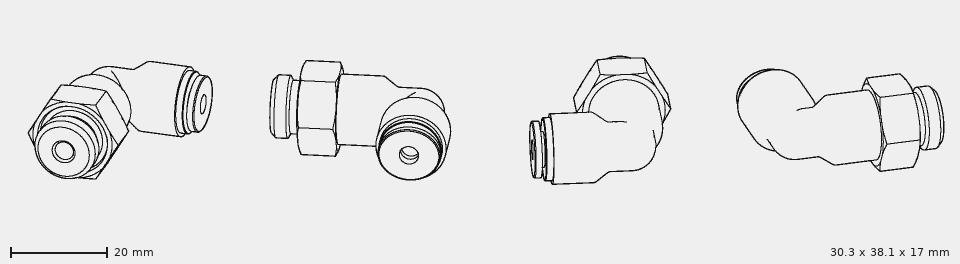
import cadquery as cq
import math


BORE_DIA = 4.0
BORE_MOUTH_DIA = 5.0

PIPE_RADIUS = 5.17
SLEEVE_RADIUS = 7.35
CONE_START = 4.8
CONE_END = 7.8
LIMB_END = 16.65
SHOULDER_FILLET = 1.0

HEX_FLATS = 17.0
HEX_LENGTH = 8.03
HEX_CHAMFER_DIA = 17.25
HEX_CHAMFER_ANGLE = 20
CORNER_CLEARANCE = 0.38
RECESS_MOUTH_DIA = 15.22
RECESS_FLOOR_DIA = 14.7
RECESS_DEPTH = 1.0
STEM_NECK_DIA = 11.2
NECK_FLARE = 0.65
NECK_FLARE_LENGTH = 0.4
THREAD_DIA = 13.15
THREAD_START = 27.25
THREAD_RUN_IN = 0.57
STEM_END = 30.7
STEM_END_CHAMFER = 1.0

RING_DIA = 13.15
RING_LENGTH = 1.55
RING_CHAMFER = 0.15

COLLAR_NECK_DIA = 7.5
COLLAR_NECK_LENGTH = 0.8
COLLAR_WIDTH = 12.98
COLLAR_HEIGHT = 11.55
COLLAR_LENGTH = 1.52
COLLAR_CHAMFER = 0.23

HEX_END = LIMB_END + HEX_LENGTH
RING_END = LIMB_END + RING_LENGTH
COLLAR_START = RING_END + COLLAR_NECK_LENGTH


def turned(profile):
    """Revolve (distance, radius) points about the X axis."""
    return cq.Workplane("XY").polyline(profile).close().revolve(360, (0, 0, 0), (1, 0, 0))


def along_stem(shape):
    """Turn a shape built along +X so that it lies along -Y."""
    return shape.rotate((0, 0, 0), (0, 0, 1), -90)


def rod(start, end, diameter):
    """Round bar on the X axis between two distances from the elbow corner."""
    return cq.Workplane("YZ").workplane(offset=start).circle(diameter / 2).extrude(end - start)


def make_limb():
    """Solid limb along +X: narrow pipe, rounded cone and wide sleeve."""
    limb = turned([
        (0, 0),
        (0, PIPE_RADIUS),
        (CONE_START, PIPE_RADIUS),
        (CONE_END, SLEEVE_RADIUS),
        (LIMB_END, SLEEVE_RADIUS),
        (LIMB_END, 0),
    ])
    return limb.faces("%CONE").edges("%CIRCLE").fillet(SHOULDER_FILLET)


def make_elbow():
    """Two equal limbs joined by a round corner, with the bent passage through them."""
    limb = make_limb()
    outside = limb.union(along_stem(limb)).union(cq.Workplane("XY").sphere(PIPE_RADIUS))
    limb_bore = rod(0, LIMB_END, BORE_DIA)
    corner_bore = cq.Workplane("XY").sphere(BORE_DIA / 2)
    passage = limb_bore.union(along_stem(limb_bore)).union(corner_bore)
    return outside.cut(passage)


def make_hexagon():
    """Hexagon with its corners chamfered at both ends."""
    hex_corners = HEX_FLATS / math.cos(math.radians(30))
    hexagon = cq.Workplane("YZ").workplane(offset=LIMB_END).polygon(6, hex_corners).extrude(HEX_LENGTH)
    end_radius = HEX_CHAMFER_DIA / 2
    outer_radius = hex_corners / 2 + CORNER_CLEARANCE
    drop = (outer_radius - end_radius) * math.tan(math.radians(HEX_CHAMFER_ANGLE))
    chamfer_envelope = turned([
        (LIMB_END, 0),
        (LIMB_END, end_radius),
        (LIMB_END + drop, outer_radius),
        (HEX_END - drop, outer_radius),
        (HEX_END, end_radius),
        (HEX_END, 0),
    ])
    return hexagon.intersect(chamfer_envelope)


def make_stem():
    """Hexagon with a threaded spigot that rises from a recess in its end face."""
    neck_radius = STEM_NECK_DIA / 2
    thread_radius = THREAD_DIA / 2
    recess_floor = HEX_END - RECESS_DEPTH
    recess = turned([
        (recess_floor, 0),
        (recess_floor, RECESS_FLOOR_DIA / 2),
        (HEX_END, RECESS_MOUTH_DIA / 2),
        (HEX_END, 0),
    ])
    spigot = turned([
        (recess_floor, 0),
        (recess_floor, neck_radius + NECK_FLARE),
        (HEX_END + NECK_FLARE_LENGTH, neck_radius),
        (THREAD_START - THREAD_RUN_IN, neck_radius),
        (THREAD_START, thread_radius),
        (STEM_END - STEM_END_CHAMFER, thread_radius),
        (STEM_END, thread_radius - STEM_END_CHAMFER),
        (STEM_END, 0),
    ])
    mouth_depth = (BORE_MOUTH_DIA - BORE_DIA) / 2
    countersink = turned([
        (STEM_END - mouth_depth, 0),
        (STEM_END - mouth_depth, BORE_DIA / 2),
        (STEM_END, BORE_MOUTH_DIA / 2),
        (STEM_END, 0),
    ])
    bore = rod(LIMB_END, STEM_END, BORE_DIA)
    return along_stem(make_hexagon().cut(recess).union(spigot).cut(bore).cut(countersink))


def make_insert_ring():
    ring = rod(LIMB_END, RING_END, RING_DIA).faces(">X").chamfer(RING_CHAMFER)
    return ring.cut(rod(LIMB_END, RING_END, BORE_DIA))


def make_collar():
    """Oval push flange on a round neck."""
    flange = (
        cq.Workplane("YZ").workplane(offset=COLLAR_START)
        .ellipse(COLLAR_WIDTH / 2, COLLAR_HEIGHT / 2).extrude(COLLAR_LENGTH)
        .faces(">X").chamfer(COLLAR_CHAMFER)
    )
    neck = rod(RING_END, COLLAR_START, COLLAR_NECK_DIA)
    return flange.union(neck).cut(rod(RING_END, COLLAR_START + COLLAR_LENGTH, BORE_DIA))


elbow = make_elbow()
stem = make_stem()
insert_ring = make_insert_ring()
collar = make_collar()

result = cq.Compound.makeCompound([elbow.val(), stem.val(), insert_ring.val(), collar.val()])